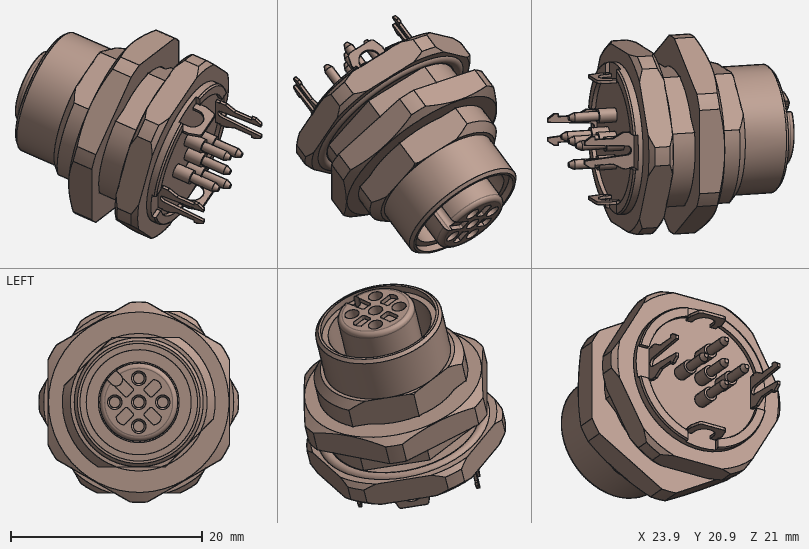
import cadquery as cq
import math


SHELL_FRONT_X = 1.5
STEP_X = 6.5
NUT_FRONT_X = 9.5
NUT_BACK_X = 12.28
RING_FRONT_X = 14.95
FLANGE_FRONT_X = 15.3
FLANGE_BACK_X = 18.0
REAR_FLOOR_X = 18.52
COLLAR_BACK_X = 18.98
PIN_BASE_END_X = 20.43
LOOP_END_X = 20.98
PIN_END_X = 23.61
PRONG_END_X = 23.9

SHELL_RADIUS = 13.5 / 2
SHELL_CHAMFER = 0.33
BODY_RADIUS = 16.0 / 2
STEP_CHAMFER = 0.84
BODY_FLAT_NORMALS = (45, 90)
SOCKET_RADIUS = 11 / 2
SOCKET_FLOOR_X = 8.6
MOUTH_RADIUS = 12.3 / 2
MOUTH_DEPTH = 0.76
COLLAR_CHAMFER_LENGTH = 0.22
COLLAR_CHAMFER_DROP = 0.12
REAR_RECESS_RADIUS = 6.93

HEX_ACROSS_FLATS = 19.0
FLANGE_CORNER_RADIUS = 10.45
FLANGE_FACE_RADIUS = 9.95
FLANGE_CHAMFER_LENGTH = 0.53
NUT_CORNER_RADIUS = 10.5
NUT_FACE_RADIUS = 9.45
NUT_CHAMFER_LENGTH = 0.57
NUT_BORE_RADIUS = 7.2

RING_SECTION_RADIUS = 0.62

INSERT_RADIUS = 4.09
INSERT_FILLET = 0.53
INSERT_SHOULDER_RADIUS = 4.23
INSERT_SHOULDER_X = 6.7
CONTACT_PITCH = 2.5
CONTACT_HOLE_DIAMETER = 1.5
CONTACT_BORE_DIAMETER = 1.15
CONTACT_HOLE_DEPTH = 1.43
CONTACT_BORE_DEPTH = 4.78
SLOT_HALF_WIDTH = 0.6
SLOT_INNER_END = 1.25
SLOT_OUTER_END = 2.99
SLOT_END_RISE = 0.25
SLOT_CORNER_RADIUS = 0.22
SLOT_DEPTH = 0.5
KEYWAY_ANGLE = 45
KEYWAY_RADIUS = 0.67
KEYWAY_CENTRE = 3.35
KEYWAY_END_X = 4.78

PIN_BASE_DIAMETER = 1.5
PIN_DIAMETER = 1.0
PIN_TIP_DIAMETER = 0.48
PIN_TIP_LENGTH = 0.55

TAB_THICKNESS = 0.3
TAB_HALF_WIDTH = 1.85
TAB_SHOULDER_HALF_WIDTH = 1.94
TAB_SHOULDER_END_X = 19.7
PRONG_OUTER_FACE = 6.43
PRONG_STEM_START_X = 20.77
PRONG_STEM_HALF_WIDTH = 1.36
PRONG_BARB_X = 22.78
PRONG_BARB_TOP_X = 23.2
PRONG_BARB_HALF_WIDTH = 1.67
PRONG_TIP_HALF_WIDTH = 1.2
PRONG_GAP_TIP = 0.84
PRONG_GAP_ROOT = 0.48
PRONG_GAP_ROOT_X = 19.17
PRONG_GAP_END_X = 18.79
LOOP_OUTER_FACE = 6.65
LOOP_END_HALF_WIDTH = 1.55
LOOP_CORNER_RADIUS = 0.38
LOOP_HOLE_RADIUS = 1.15
LOOP_HOLE_CENTRE_X = 19.15

CONTACT_PLACES = [
    (0, 0),
    (CONTACT_PITCH, 0),
    (-CONTACT_PITCH, 0),
    (0, CONTACT_PITCH),
    (0, -CONTACT_PITCH),
]


def turned(points):
    """Solid of revolution about X from (x, radius) corner points."""
    return cq.Workplane("XY").polyline(points).close().revolve(360, (0, 0, 0), (1, 0, 0))


def plane_at(x):
    """YZ work plane at station x: local axes are Y and Z, the normal is +X."""
    return cq.Workplane("YZ", origin=(x, 0, 0))


def turn_about_axis(shape, angle):
    """Turn a shape about X; a positive angle takes +Y toward +Z."""
    return shape.rotate((0, 0, 0), (1, 0, 0), angle)


def hexagon(x_start, x_end):
    """Hexagonal prism along X with corners on the Y axis."""
    across_corners = HEX_ACROSS_FLATS / math.cos(math.radians(30))
    return plane_at(x_start).polygon(6, across_corners).extrude(x_end - x_start)



def threaded_section(x_start, x_end):
    """Round bar of the body radius with its two pairs of flats."""
    length = x_end - x_start
    section = plane_at(x_start).circle(BODY_RADIUS).extrude(length)
    for angle in BODY_FLAT_NORMALS:
        slab = plane_at(x_start).rect(2 * SHELL_RADIUS, 4 * BODY_RADIUS).extrude(length)
        section = section.intersect(turn_about_axis(slab, angle))
    return section


def shell():
    """Round front shell and the flatted section behind it, bored for the mating plug."""
    front = turned([
        (SHELL_FRONT_X, 0),
        (SHELL_FRONT_X, SHELL_RADIUS - SHELL_CHAMFER),
        (SHELL_FRONT_X + SHELL_CHAMFER, SHELL_RADIUS),
        (STEP_X, SHELL_RADIUS),
        (STEP_X, 0),
    ])
    step_envelope = turned([
        (STEP_X, 0),
        (STEP_X, BODY_RADIUS - STEP_CHAMFER),
        (STEP_X + STEP_CHAMFER, BODY_RADIUS),
        (FLANGE_FRONT_X, BODY_RADIUS),
        (FLANGE_FRONT_X, 0),
    ])
    section = threaded_section(STEP_X, FLANGE_FRONT_X).intersect(step_envelope)
    socket = plane_at(SHELL_FRONT_X).circle(SOCKET_RADIUS).extrude(SOCKET_FLOOR_X - SHELL_FRONT_X)
    mouth = plane_at(SHELL_FRONT_X).circle(MOUTH_RADIUS).extrude(MOUTH_DEPTH)
    return front.union(section).cut(socket).cut(mouth)


def flange():
    """Hexagonal flange, chamfered on both faces."""
    envelope = turned([
        (FLANGE_FRONT_X, 0),
        (FLANGE_FRONT_X, FLANGE_FACE_RADIUS),
        (FLANGE_FRONT_X + FLANGE_CHAMFER_LENGTH, FLANGE_CORNER_RADIUS),
        (FLANGE_BACK_X - FLANGE_CHAMFER_LENGTH, FLANGE_CORNER_RADIUS),
        (FLANGE_BACK_X, FLANGE_FACE_RADIUS),
        (FLANGE_BACK_X, 0),
    ])
    return hexagon(FLANGE_FRONT_X, FLANGE_BACK_X).intersect(envelope)


def sealing_ring():
    """Round-section ring bedded in the front face of the flange."""
    centre_x = RING_FRONT_X + RING_SECTION_RADIUS
    centre_radius = BODY_RADIUS + RING_SECTION_RADIUS
    section = cq.Workplane("XY").moveTo(centre_x, centre_radius).circle(RING_SECTION_RADIUS)
    return section.revolve(360, (0, 0, 0), (1, 0, 0))


def rear_collar():
    """Collar behind the flange, recessed and notched through its wall for the four tabs."""
    collar = turned([
        (FLANGE_BACK_X, 0),
        (FLANGE_BACK_X, BODY_RADIUS),
        (COLLAR_BACK_X - COLLAR_CHAMFER_LENGTH, BODY_RADIUS),
        (COLLAR_BACK_X, BODY_RADIUS - COLLAR_CHAMFER_DROP),
        (COLLAR_BACK_X, 0),
    ])
    depth = COLLAR_BACK_X - REAR_FLOOR_X
    recess = plane_at(REAR_FLOOR_X).circle(REAR_RECESS_RADIUS).extrude(depth)
    collar = collar.cut(recess)
    for size_y, size_z in ((2 * TAB_HALF_WIDTH, 2 * BODY_RADIUS), (2 * BODY_RADIUS, 2 * TAB_HALF_WIDTH)):
        collar = collar.cut(plane_at(REAR_FLOOR_X).rect(size_y, size_z).extrude(depth))
    return collar



def contact_hole():
    """Stepped hole on the X axis with a conical lead-in between its two diameters."""
    hole_radius = CONTACT_HOLE_DIAMETER / 2
    bore_radius = CONTACT_BORE_DIAMETER / 2
    return turned([
        (0, 0),
        (0, hole_radius),
        (CONTACT_HOLE_DEPTH, hole_radius),
        (CONTACT_HOLE_DEPTH + hole_radius - bore_radius, bore_radius),
        (CONTACT_BORE_DEPTH, bore_radius),
        (CONTACT_BORE_DEPTH, 0),
    ])


def face_slot(outer_end):
    """Pocket pointing along +Y, with a bowed outer end and rounded inner corners."""
    side_end = outer_end - SLOT_END_RISE
    return (
        plane_at(0)
        .moveTo(SLOT_INNER_END, -SLOT_HALF_WIDTH)
        .lineTo(side_end, -SLOT_HALF_WIDTH)
        .threePointArc((outer_end, 0), (side_end, SLOT_HALF_WIDTH))
        .lineTo(SLOT_INNER_END, SLOT_HALF_WIDTH)
        .close()
        .extrude(SLOT_DEPTH)
        .edges("|X and <Y")
        .fillet(SLOT_CORNER_RADIUS)
    )


def keyway():
    """Round-bottomed groove along the insert, open toward +Y."""
    open_length = INSERT_SHOULDER_RADIUS - KEYWAY_CENTRE + KEYWAY_RADIUS
    groove = plane_at(0).center(KEYWAY_CENTRE, 0).circle(KEYWAY_RADIUS).extrude(KEYWAY_END_X)
    mouth = (
        plane_at(0)
        .center(KEYWAY_CENTRE + open_length / 2, 0)
        .rect(open_length, 2 * KEYWAY_RADIUS)
        .extrude(KEYWAY_END_X)
    )
    return groove.union(mouth)


def insert():
    """Contact carrier standing on the socket floor, with its holes, slots and keyway."""
    body = plane_at(0).circle(INSERT_RADIUS).extrude(INSERT_SHOULDER_X)
    body = body.faces("<X").edges().fillet(INSERT_FILLET)
    shoulder_length = SOCKET_FLOOR_X - INSERT_SHOULDER_X
    body = body.union(plane_at(INSERT_SHOULDER_X).circle(INSERT_SHOULDER_RADIUS).extrude(shoulder_length))
    for y, z in CONTACT_PLACES:
        body = body.cut(contact_hole().translate((0, y, z)))
    for quarter in (1, 2, 3):
        body = body.cut(turn_about_axis(face_slot(SLOT_OUTER_END), KEYWAY_ANGLE + 90 * quarter))
    keyway_with_slot = keyway().union(face_slot(KEYWAY_CENTRE))
    return body.cut(turn_about_axis(keyway_with_slot, KEYWAY_ANGLE))



def solder_pin():
    """Stepped pin on the X axis with a conical tip."""
    return turned([
        (REAR_FLOOR_X, 0),
        (REAR_FLOOR_X, PIN_BASE_DIAMETER / 2),
        (PIN_BASE_END_X, PIN_BASE_DIAMETER / 2),
        (PIN_BASE_END_X, PIN_DIAMETER / 2),
        (PIN_END_X - PIN_TIP_LENGTH, PIN_DIAMETER / 2),
        (PIN_END_X, PIN_TIP_DIAMETER / 2),
        (PIN_END_X, 0),
    ])


def tab_sheet(outline, outer_face):
    """Sheet drawn in the XY plane, moved up so that its top face lies at z = outer_face."""
    return outline.extrude(TAB_THICKNESS).translate((0, 0, outer_face - TAB_THICKNESS))


def prong_tab():
    """Forked snap tab with two barbed legs."""
    leg = [
        (REAR_FLOOR_X, TAB_HALF_WIDTH),
        (COLLAR_BACK_X, TAB_HALF_WIDTH),
        (COLLAR_BACK_X, TAB_SHOULDER_HALF_WIDTH),
        (TAB_SHOULDER_END_X, TAB_SHOULDER_HALF_WIDTH),
        (PRONG_STEM_START_X, PRONG_STEM_HALF_WIDTH),
        (PRONG_BARB_X, PRONG_STEM_HALF_WIDTH),
        (PRONG_BARB_X, PRONG_BARB_HALF_WIDTH),
        (PRONG_BARB_TOP_X, PRONG_BARB_HALF_WIDTH),
        (PRONG_END_X, PRONG_TIP_HALF_WIDTH),
        (PRONG_END_X, PRONG_GAP_TIP),
        (PRONG_GAP_ROOT_X, PRONG_GAP_ROOT),
    ]
    opposite_leg = [(x, -y) for x, y in reversed(leg)]
    outline = (
        cq.Workplane("XY")
        .polyline(leg)
        .threePointArc((PRONG_GAP_END_X, 0), opposite_leg[0])
    )
    for point in opposite_leg[1:]:
        outline = outline.lineTo(*point)
    return tab_sheet(outline.close(), PRONG_OUTER_FACE)


def loop_tab():
    """Eyelet tab with a round-ended opening that starts at the recess floor."""
    side = [
        (REAR_FLOOR_X, TAB_HALF_WIDTH),
        (COLLAR_BACK_X, TAB_HALF_WIDTH),
        (COLLAR_BACK_X, TAB_SHOULDER_HALF_WIDTH),
        (TAB_SHOULDER_END_X, TAB_SHOULDER_HALF_WIDTH),
        (LOOP_END_X, LOOP_END_HALF_WIDTH),
    ]
    opposite_side = [(x, -y) for x, y in reversed(side)]
    sheet = tab_sheet(cq.Workplane("XY").polyline(side + opposite_side).close(), LOOP_OUTER_FACE)
    sheet = sheet.faces(">X").edges("|Z").fillet(LOOP_CORNER_RADIUS)
    opening = (
        cq.Workplane("XY")
        .moveTo(REAR_FLOOR_X, LOOP_HOLE_RADIUS)
        .lineTo(LOOP_HOLE_CENTRE_X, LOOP_HOLE_RADIUS)
        .threePointArc((LOOP_HOLE_CENTRE_X + LOOP_HOLE_RADIUS, 0), (LOOP_HOLE_CENTRE_X, -LOOP_HOLE_RADIUS))
        .lineTo(REAR_FLOOR_X, -LOOP_HOLE_RADIUS)
        .close()
    )
    return sheet.cut(tab_sheet(opening, LOOP_OUTER_FACE))


def make_housing():
    """Connector housing with its insert, sealing ring, pins and tabs as one solid."""
    housing = shell().union(flange()).union(sealing_ring()).union(rear_collar()).union(insert())
    for y, z in CONTACT_PLACES:
        housing = housing.union(solder_pin().translate((0, y, z)))
    for angle in (0, 180):
        housing = housing.union(turn_about_axis(loop_tab(), angle))
        housing = housing.union(turn_about_axis(prong_tab(), angle + 90))
    return housing



def make_nut():
    """Hexagonal nut, chamfered in front; its bore takes the flatted section of the housing."""
    envelope = turned([
        (NUT_FRONT_X, 0),
        (NUT_FRONT_X, NUT_FACE_RADIUS),
        (NUT_FRONT_X + NUT_CHAMFER_LENGTH, NUT_CORNER_RADIUS),
        (NUT_BACK_X, NUT_CORNER_RADIUS),
        (NUT_BACK_X, 0),
    ])
    blank = turn_about_axis(hexagon(NUT_FRONT_X, NUT_BACK_X), 90).intersect(envelope)
    bore = plane_at(NUT_FRONT_X).circle(NUT_BORE_RADIUS).extrude(NUT_BACK_X - NUT_FRONT_X)
    return blank.cut(bore).cut(threaded_section(NUT_FRONT_X, NUT_BACK_X))


housing = make_housing()
nut = make_nut()

result = cq.Compound.makeCompound([*housing.solids().vals(), *nut.solids().vals()])